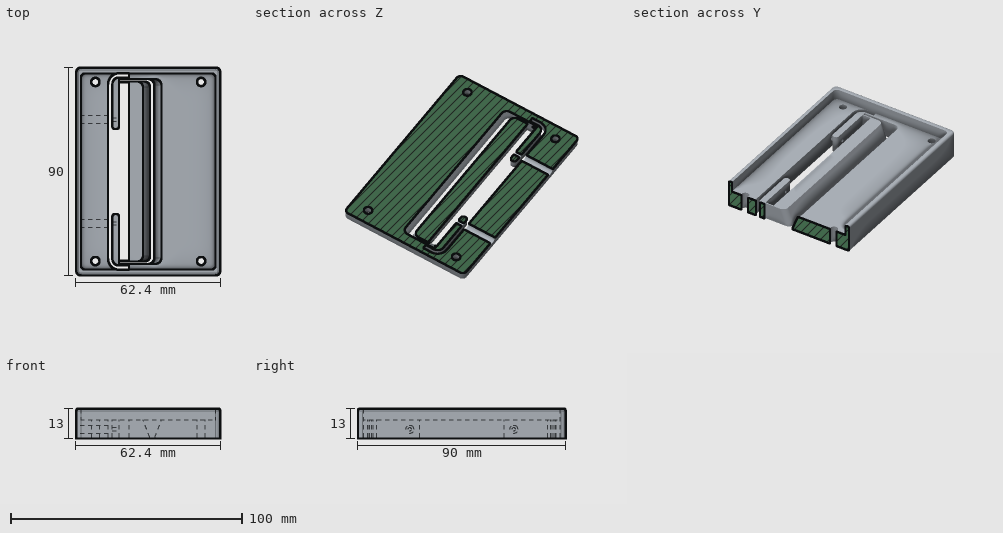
import cadquery as cq

LENGTH_X = 62.38
LENGTH_Y = 90.0
HEIGHT = 13.0
OUTER_CORNER_RADIUS = 2.0
RIM_FILLET = 1.0
LEFT = -LENGTH_X / 2

FLOOR_THICKNESS = 8.0
WALL_X = 2.0
WALL_Y = 2.5
RECESS_CORNER_RADIUS = 2.0
RECESS_X = LENGTH_X - 2 * WALL_X
RECESS_Y = LENGTH_Y - 2 * WALL_Y

MOUNT_DIAMETER = 3.5
MOUNT_INSET_X = 8.3
MOUNT_INSET_Y = 6.25

CLEARANCE = 1.75
OPENING_LEFT = LEFT + 13.85
OPENING_RIGHT = LEFT + 22.75
OPENING_HALF_Y = RECESS_Y / 2
FINGER_WIDTH = 3.0
FINGER_LEFT = OPENING_LEFT + CLEARANCE
FINGER_RIGHT = FINGER_LEFT + FINGER_WIDTH
FINGER_TIP_Y = 18.3
FINGER_TIP_RADIUS = 1.25
ARM_HALF_Y = OPENING_HALF_Y - CLEARANCE
ARM_BEND_RADIUS = 3.0
OUTER_BEND_RADIUS = ARM_BEND_RADIUS + CLEARANCE

OUTER_STRIP = 0.75
GAP = 1.0
INNER_STRIP = 0.5
GAP_HALF_Y = ARM_HALF_Y - OUTER_STRIP
RIDGE_HALF_Y = GAP_HALF_Y - GAP
WINDOW_HALF_Y = RIDGE_HALF_Y - INNER_STRIP

RIDGE_BASE_X = LEFT + 32.0
GROOVE_BASE_X = RIDGE_BASE_X + CLEARANCE
SLOPE_RUN = 3.1
GROOVE_CORNER_RADIUS = 2.5

SCREW_CLEARANCE_DIAMETER = 3.5
SCREW_PILOT_DIAMETER = 1.5
SCREW_Y = 22.5
SCREW_Z = FLOOR_THICKNESS / 2


def block(x_min, x_max, y_min, y_max):
    """Floor-thick block spanning the given X and Y ranges."""
    return cq.Workplane("XY").box(
        x_max - x_min, y_max - y_min, FLOOR_THICKNESS, centered=False
    ).translate((x_min, y_min, 0))


def make_tray():
    """Rounded case with its rim fillet and the open recess."""
    body = cq.Workplane("XY").box(LENGTH_X, LENGTH_Y, HEIGHT, centered=(True, True, False))
    body = body.edges("|Z").fillet(OUTER_CORNER_RADIUS)
    body = body.faces(">Z").edges().fillet(RIM_FILLET)
    recess = cq.Workplane("XY").workplane(offset=FLOOR_THICKNESS)
    recess = recess.rect(RECESS_X, RECESS_Y).extrude(HEIGHT - FLOOR_THICKNESS)
    return body.cut(recess.edges("|Z").fillet(RECESS_CORNER_RADIUS))


def make_mount_holes():
    """Four holes near the corners of the floor."""
    spacing_x = LENGTH_X - 2 * MOUNT_INSET_X
    spacing_y = LENGTH_Y - 2 * MOUNT_INSET_Y
    centres = cq.Workplane("XY").rect(spacing_x, spacing_y, forConstruction=True).vertices()
    return centres.circle(MOUNT_DIAMETER / 2).extrude(FLOOR_THICKNESS)


def make_arm():
    """Bent spring arm on the +Y side, with rounded corners at the finger tip."""
    arm = block(FINGER_LEFT, OPENING_RIGHT, FINGER_TIP_Y, ARM_HALF_Y)
    arm = arm.edges("|Z and <X and >Y").fillet(ARM_BEND_RADIUS)
    arm = arm.cut(block(FINGER_RIGHT, OPENING_RIGHT, FINGER_TIP_Y, WINDOW_HALF_Y))
    return arm.faces("<Y").edges("|Z").fillet(FINGER_TIP_RADIUS)


def make_opening():
    """Through opening that leaves the two mirrored spring arms standing."""
    opening = block(OPENING_LEFT, OPENING_RIGHT, -OPENING_HALF_Y, OPENING_HALF_Y)
    opening = opening.edges("|Z and <X").fillet(OUTER_BEND_RADIUS)
    arm = make_arm()
    return opening.cut(arm).cut(arm.mirror("XZ"))


def make_sloped_block(base_x, top_x, half_y):
    """Block from the fingers to a sloped +X face with rounded corners."""
    profile = cq.Workplane("XZ").polyline([
        (FINGER_RIGHT, 0),
        (base_x, 0),
        (top_x, FLOOR_THICKNESS),
        (FINGER_RIGHT, FLOOR_THICKNESS),
    ]).close()
    solid = profile.extrude(half_y, both=True)
    sloped_face = solid.faces(cq.selectors.CenterNthSelector(cq.Vector(1, 0, 0), -1))
    return sloped_face.edges("not |Y").fillet(GROOVE_CORNER_RADIUS)


def make_groove():
    """V-groove around the ridge together with the narrow flexure gaps."""
    outer = make_sloped_block(GROOVE_BASE_X, GROOVE_BASE_X + SLOPE_RUN, GAP_HALF_Y)
    ridge = make_sloped_block(RIDGE_BASE_X, RIDGE_BASE_X - SLOPE_RUN, RIDGE_HALF_Y)
    return outer.cut(ridge)


def make_x_hole(diameter, x_start, x_end, y):
    """Cylinder along X at the screw height."""
    plane = cq.Workplane("YZ", origin=(x_start, y, SCREW_Z))
    return plane.circle(diameter / 2).extrude(x_end - x_start)


result = make_tray().cut(make_mount_holes()).cut(make_opening()).cut(make_groove())
for screw_y in (-SCREW_Y, SCREW_Y):
    result = result.cut(make_x_hole(SCREW_CLEARANCE_DIAMETER, LEFT, OPENING_LEFT, screw_y))
    result = result.cut(make_x_hole(SCREW_PILOT_DIAMETER, FINGER_LEFT, FINGER_RIGHT, screw_y))